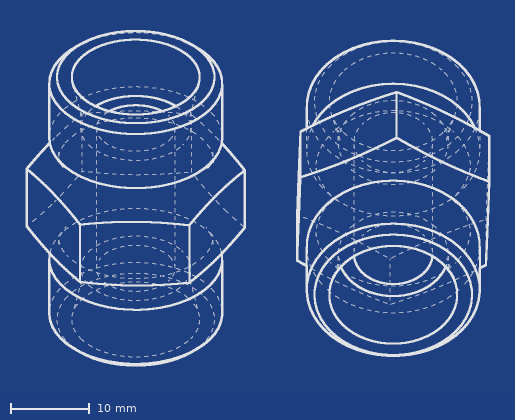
import cadquery as cq
import math

total_length = 38.0
half_length = total_length / 2

across_flats = 24.0
across_corners = across_flats / math.cos(math.radians(30))
hex_height = 10.0
hex_chamfer_angle = 15.0

thread_radius = 22.0 / 2
thread_length = 9.45
end_chamfer = 1.0
groove_radius = 19.7 / 2
groove_fillet = 1.0
groove_taper_angle = 30.0

bore_diameter = 10.0
counterbore_radius = 14.0 / 2
counterbore_depth = 8.0
mouth_radius = 8.15
mouth_depth = 5.35


def make_hexagon():
    """Hexagon with two corners on Y, both faces trimmed by a shallow cone."""
    prism = (
        cq.Workplane("XY")
        .polygon(6, across_corners)
        .extrude(hex_height)
        .translate((0, 0, -hex_height / 2))
        .rotate((0, 0, 0), (0, 0, 1), 90)
    )
    face_radius = across_flats / 2
    trim_radius = across_corners / 2 + 0.38
    drop = (trim_radius - face_radius) * math.tan(math.radians(hex_chamfer_angle))
    face_z = hex_height / 2
    envelope = (
        cq.Workplane("XZ")
        .moveTo(0, -face_z)
        .lineTo(face_radius, -face_z)
        .lineTo(trim_radius, drop - face_z)
        .lineTo(trim_radius, face_z - drop)
        .lineTo(face_radius, face_z)
        .lineTo(0, face_z)
        .close()
        .revolve(360, (0, 0, 0), (0, 1, 0))
    )
    return prism.intersect(envelope)


def make_upper_end():
    """Threaded end with a rounded undercut between the hexagon and the thread."""
    hex_top = hex_height / 2
    taper = math.radians(groove_taper_angle)
    thread_start = half_length - thread_length

    taper_end_radius = groove_radius + groove_fillet * (1 - math.cos(taper))
    taper_end_z = thread_start - (thread_radius - taper_end_radius) / math.tan(taper)
    floor_end_z = taper_end_z - groove_fillet * math.sin(taper)

    hex_arc_inset = groove_fillet * (1 - math.sqrt(0.5))
    hex_arc_middle = (groove_radius + hex_arc_inset, hex_top + hex_arc_inset)
    taper_arc_middle = (
        groove_radius + groove_fillet * (1 - math.cos(taper / 2)),
        floor_end_z + groove_fillet * math.sin(taper / 2),
    )
    return (
        cq.Workplane("XZ")
        .moveTo(0, 0)
        .lineTo(groove_radius + groove_fillet, 0)
        .lineTo(groove_radius + groove_fillet, hex_top)
        .threePointArc(hex_arc_middle, (groove_radius, hex_top + groove_fillet))
        .lineTo(groove_radius, floor_end_z)
        .threePointArc(taper_arc_middle, (taper_end_radius, taper_end_z))
        .lineTo(thread_radius, thread_start)
        .lineTo(thread_radius, half_length - end_chamfer)
        .lineTo(thread_radius - end_chamfer, half_length)
        .lineTo(0, half_length)
        .close()
        .revolve(360, (0, 0, 0), (0, 1, 0))
    )


def make_upper_socket():
    """Conical mouth leading into a flat-bottomed counterbore."""
    return (
        cq.Workplane("XZ")
        .moveTo(0, half_length - counterbore_depth)
        .lineTo(counterbore_radius, half_length - counterbore_depth)
        .lineTo(counterbore_radius, half_length - mouth_depth)
        .lineTo(mouth_radius, half_length)
        .lineTo(0, half_length)
        .close()
        .revolve(360, (0, 0, 0), (0, 1, 0))
    )


upper_end = make_upper_end()
upper_socket = make_upper_socket()
bore = cq.Workplane("XY").circle(bore_diameter / 2).extrude(half_length, both=True)

result = (
    make_hexagon()
    .union(upper_end)
    .union(upper_end.mirror("XY"))
    .cut(upper_socket)
    .cut(upper_socket.mirror("XY"))
    .cut(bore)
)